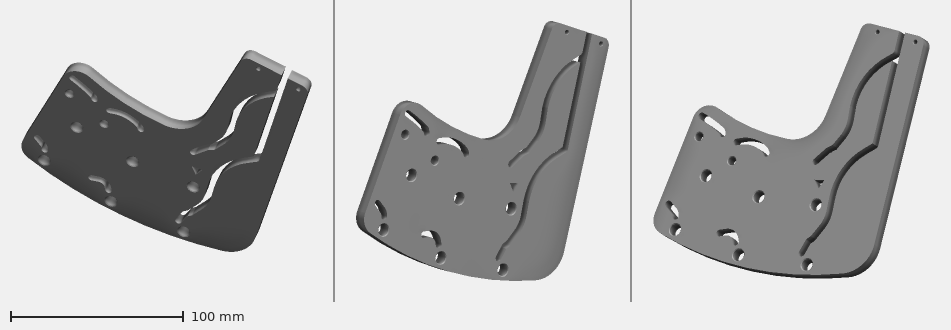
import cadquery as cq
import math

LENGTH = 173.4
HEIGHT = 149.71
THICKNESS = 8.0

BODY_CORNER_RADIUS = 10.0
ARM_CORNER_RADIUS = 5.0
HEEL_RADIUS = 20.0
ELBOW_RADIUS = -20.0
UPPER_SIDE_RADIUS = -135.0
LOWER_SIDE_RADIUS = 220.0

LOWER_LEFT_CORNER = (BODY_CORNER_RADIUS, 49.0)
UPPER_LEFT_CORNER = (34.7, 104.1)
ELBOW = (92.2, 105.7)
ARM_LEFT_CORNER = (137.6, HEIGHT - ARM_CORNER_RADIUS)
ARM_RIGHT_CORNER = (LENGTH - ARM_CORNER_RADIUS, 132.9)
HEEL = (122.4, HEEL_RADIUS)

SMALLEST_LINE = 1e-4

LARGE_HOLE_DIAMETER = 7.0
LARGE_HOLE_CHAMFER = 0.5
LARGE_HOLES = [(33.7, 71.5), (67.5, 54.1), (104.2, 44.1), (13.9, 41.5), (54.4, 20.6), (98.4, 8.6)]
MEDIUM_HOLE_DIAMETER = 5.0
MEDIUM_HOLE_CHAMFER = 0.5
MEDIUM_HOLES = [(29.2, 95.9), (50.2, 78.3)]
SMALL_HOLE_DIAMETER = 2.5
SMALL_HOLE_CHAMFER = 0.25
SMALL_HOLES = [(143.7, 143.6), (167.9, 134.2)]

SLOT_WIDTH = 4.0
SHORT_SLOTS = [
    ((31.0, 108.2), [[(37.8, 103.0), (43.9, 97.4)], [(44.4, 95.5)]]),
    ((53.4, 89.3), [[(57.8, 89.3)], [(66.1, 86.6), (71.7, 81.8)], [(72.5, 79.8)]]),
    ((9.6, 57.7), [[(12.7, 53.8)], [(13.8, 52.2), (14.2, 49.5)]]),
    ((42.5, 35.5), [[(46.8, 35.5)], [(50.9, 33.7), (52.5, 30.3)], [(52.8, 28.6)]]),
]

TRACK_BEND = (142.3, 74.9)
TRACK_MOUTH = (162.5, 152.8)
TRACK_LEGS = [
    [TRACK_BEND],
    [(135.8, 72.2)],
    [(122.2, 62.2), (114.9, 47.5)],
    [(113.2, 40.0)],
    [(111.2, 34.2), (107.5, 29.4)],
    [(102.2, 23.9)],
    [(99.4, 22.5)],
    [(95.2, 16.1)],
]

BRANCH_START = (155.9, 128.0)
BRANCH_LEGS = [
    [(151.3, 126.3)],
    [(137.0, 117.0), (128.2, 101.0)],
    [(126.9, 94.0)],
    [(125.3, 88.4), (122.0, 83.2)],
    [(116.0, 77.2)],
    [(112.1, 76.0)],
    [(104.1, 70.4)],
]
BRANCH_CORNER = (154.0, 129.2)
BRANCH_CORNER_RADIUS = 3.0

POINTER = [(103.2, 59.5), (109.7, 58.4), (105.8, 53.7)]


def touching_centre(start, start_radius, end, end_radius, radius):
    """Centre of a circle of signed radius that runs tangentially from one circle to another."""
    to_start = abs(radius - start_radius)
    to_end = abs(radius - end_radius)
    dx = end[0] - start[0]
    dz = end[1] - start[1]
    gap = math.hypot(dx, dz)
    along = (to_start**2 - to_end**2 + gap**2) / (2 * gap)
    across = math.copysign(math.sqrt(to_start**2 - along**2), radius)
    return (
        start[0] + (along * dx + across * dz) / gap,
        start[1] + (along * dz - across * dx) / gap,
    )


def common_normal(start, start_radius, end, end_radius):
    """Outward normal angle where a clockwise path leaves one circle for the next."""
    dx = end[0] - start[0]
    dz = end[1] - start[1]
    ratio = (start_radius - end_radius) / math.hypot(dx, dz)
    turn = math.acos(max(-1.0, min(1.0, ratio)))
    return math.atan2(dz, dx) + turn


def on_circle(centre, radius, angle):
    return (centre[0] + radius * math.cos(angle), centre[1] + radius * math.sin(angle))


def extrude(sketch):
    """Extrude a closed XZ sketch through the full thickness, toward +Y."""
    return sketch.extrude(-THICKNESS)


def plate():
    """Plate whose outline runs clockwise around tangent corner circles."""
    upper_side = touching_centre(
        UPPER_LEFT_CORNER, BODY_CORNER_RADIUS, ELBOW, ELBOW_RADIUS, UPPER_SIDE_RADIUS
    )
    lower_side = touching_centre(
        HEEL, HEEL_RADIUS, LOWER_LEFT_CORNER, BODY_CORNER_RADIUS, LOWER_SIDE_RADIUS
    )
    circles = [
        (UPPER_LEFT_CORNER, BODY_CORNER_RADIUS),
        (upper_side, UPPER_SIDE_RADIUS),
        (ELBOW, ELBOW_RADIUS),
        (ARM_LEFT_CORNER, ARM_CORNER_RADIUS),
        (ARM_RIGHT_CORNER, ARM_CORNER_RADIUS),
        (HEEL, HEEL_RADIUS),
        (lower_side, LOWER_SIDE_RADIUS),
        (LOWER_LEFT_CORNER, BODY_CORNER_RADIUS),
    ]
    joints = [
        common_normal(*circle, *following)
        for circle, following in zip(circles, circles[1:] + circles[:1])
    ]
    outline = cq.Workplane("XZ").moveTo(*on_circle(*circles[-1], joints[-1]))
    arrival = joints[-1]
    position = on_circle(*circles[-1], arrival)
    for circle, departure in zip(circles, joints):
        arc_start = on_circle(*circle, arrival)
        if math.dist(position, arc_start) > SMALLEST_LINE:
            outline = outline.lineTo(*arc_start)
        swing = math.remainder(departure - arrival, math.tau)
        position = on_circle(*circle, departure)
        outline = outline.threePointArc(on_circle(*circle, arrival + swing / 2), position)
        arrival = departure
    return extrude(outline.close())


def slot(start, legs):
    """Round-ended cutter of slot width along a centreline of lines and arcs."""
    path = cq.Workplane("XZ").moveTo(*start)
    for leg in legs:
        path = path.lineTo(*leg[0]) if len(leg) == 1 else path.threePointArc(*leg)
    return extrude(path.wire().offset2D(SLOT_WIDTH / 2))


def chamfered_holes(centres, diameter, chamfer):
    """Through-hole cutters, each widened by a 45 degree chamfer at the -Y face."""
    bores = extrude(cq.Workplane("XZ").pushPoints(centres).circle(diameter / 2))
    for x, z in centres:
        cone = cq.Solid.makeCone(
            diameter / 2 + chamfer, diameter / 2, chamfer, cq.Vector(x, 0, z), cq.Vector(0, 1, 0)
        )
        bores = bores.union(cq.Workplane(cone))
    return bores


def with_guide_track(body):
    """Cut the guide track and its branch, and round the corner above the branch."""
    body = body.cut(slot(TRACK_MOUTH, TRACK_LEGS)).cut(slot(BRANCH_START, BRANCH_LEGS))
    corner = (BRANCH_CORNER[0], THICKNESS / 2, BRANCH_CORNER[1])
    corner_edge = body.edges("|Y").edges(cq.selectors.NearestToPointSelector(corner))
    return corner_edge.fillet(BRANCH_CORNER_RADIUS)


def pointer():
    return extrude(cq.Workplane("XZ").polyline(POINTER).close())


result = with_guide_track(plate())
for slot_start, slot_legs in SHORT_SLOTS:
    result = result.cut(slot(slot_start, slot_legs))
result = result.cut(chamfered_holes(LARGE_HOLES, LARGE_HOLE_DIAMETER, LARGE_HOLE_CHAMFER))
result = result.cut(chamfered_holes(MEDIUM_HOLES, MEDIUM_HOLE_DIAMETER, MEDIUM_HOLE_CHAMFER))
result = result.cut(chamfered_holes(SMALL_HOLES, SMALL_HOLE_DIAMETER, SMALL_HOLE_CHAMFER))
result = result.cut(pointer())